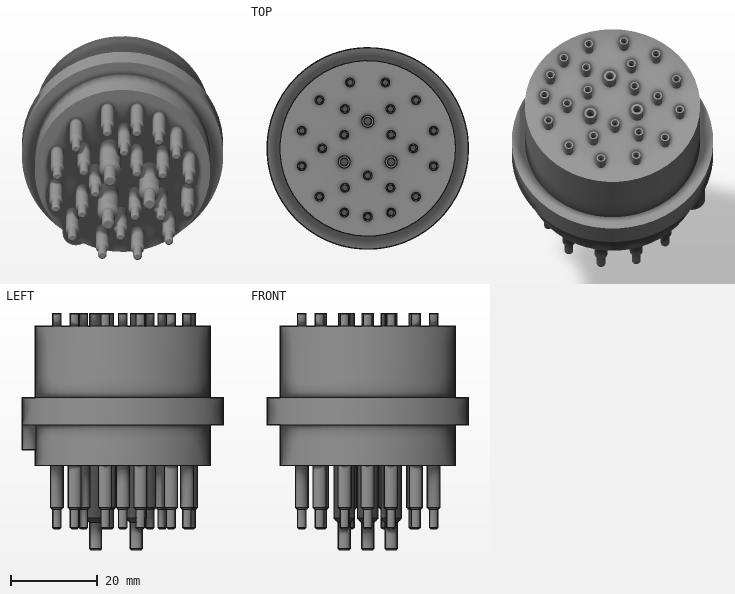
import cadquery as cq
import math

BODY_DIAMETER = 40.5
LOWER_BODY_HEIGHT = 9.4
FLANGE_DIAMETER = 46.5
FLANGE_HEIGHT = 6.3
UPPER_BODY_HEIGHT = 16.5
FLANGE_BOTTOM_Z = LOWER_BODY_HEIGHT
FLANGE_TOP_Z = FLANGE_BOTTOM_Z + FLANGE_HEIGHT
BODY_TOP_Z = FLANGE_TOP_Z + UPPER_BODY_HEIGHT

KEY_RADIUS = (FLANGE_DIAMETER - BODY_DIAMETER) / 2
KEY_CENTRE_Y = BODY_DIAMETER / 2
KEY_HEIGHT = 5.75

CUP_HEIGHT = 2.9

SMALL_PIN_DIAMETER = 2.0
SMALL_CUP_DIAMETER = SMALL_PIN_DIAMETER
SMALL_SLEEVE_DIAMETER = 3.0
SMALL_CUP_BORE = 1.4
SMALL_SLEEVE_LENGTH = 9.6
SMALL_PIN_REACH = 14.6

LARGE_PIN_DIAMETER = 2.8
LARGE_CUP_DIAMETER = 2.75
LARGE_SLEEVE_DIAMETER = 4.8
LARGE_CUP_BORE = 1.8
LARGE_SLEEVE_LENGTH = 12.1
LARGE_PIN_REACH = 19.5

TIP_CHAMFER = 0.4

OUTER_RADIUS = 15.75
OUTER_SPACING = 30
OUTER_EVEN_START = -45
OUTER_EVEN_COUNT = 10
OUTER_EVEN_ANGLES = [OUTER_EVEN_START + OUTER_SPACING * i for i in range(OUTER_EVEN_COUNT)]
OUTER_CLOSE_SPACING = 20
OUTER_CLOSE_ANGLES = [-90 + OUTER_CLOSE_SPACING * i for i in (-1, 0, 1)]
MIDDLE_RADIUS = 10.5
MIDDLE_ANGLES = range(0, 360, 60)
INNER_RADIUS = 6.25
INNER_SMALL_ANGLES = (30, 150, 270)
INNER_LARGE_ANGLES = (90, 210, 330)


def polar_points(radius, angles):
    return [
        (radius * math.cos(math.radians(angle)), radius * math.sin(math.radians(angle)))
        for angle in angles
    ]


def cylinder(diameter, bottom_z, height):
    return cq.Workplane("XY").workplane(offset=bottom_z).circle(diameter / 2).extrude(height)


def make_body():
    body = cylinder(BODY_DIAMETER, 0, BODY_TOP_Z)
    return body.union(cylinder(FLANGE_DIAMETER, FLANGE_BOTTOM_Z, FLANGE_HEIGHT))


def make_key():
    key = cylinder(2 * KEY_RADIUS, FLANGE_BOTTOM_Z - KEY_HEIGHT, KEY_HEIGHT)
    return key.translate((0, KEY_CENTRE_Y, 0))


def make_contact(pin_diameter, sleeve_diameter, cup_diameter, cup_bore, sleeve_length, reach):
    """Contact on the Z axis: cup above the body, sleeve, 45 degree shoulder and chamfered pin below."""
    pin_radius = pin_diameter / 2
    sleeve_radius = sleeve_diameter / 2
    cup_radius = cup_diameter / 2
    bore_radius = cup_bore / 2
    cup_top_z = BODY_TOP_Z + CUP_HEIGHT
    shoulder_z = -sleeve_length - (sleeve_radius - pin_radius)
    half_section = [
        (0, -reach),
        (pin_radius - TIP_CHAMFER, -reach),
        (pin_radius, -reach + TIP_CHAMFER),
        (pin_radius, shoulder_z),
        (sleeve_radius, -sleeve_length),
        (sleeve_radius, FLANGE_BOTTOM_Z),
        (cup_radius, FLANGE_BOTTOM_Z),
        (cup_radius, cup_top_z),
        (bore_radius, cup_top_z),
        (bore_radius, BODY_TOP_Z),
        (0, BODY_TOP_Z),
    ]
    return cq.Workplane("XZ").polyline(half_section).close().revolve(360, (0, 0), (0, 1))


def add_contacts(part, contact, points):
    for x, y in points:
        part = part.union(contact.translate((x, y, 0)))
    return part


small_contact = make_contact(
    SMALL_PIN_DIAMETER,
    SMALL_SLEEVE_DIAMETER,
    SMALL_CUP_DIAMETER,
    SMALL_CUP_BORE,
    SMALL_SLEEVE_LENGTH,
    SMALL_PIN_REACH,
)
large_contact = make_contact(
    LARGE_PIN_DIAMETER,
    LARGE_SLEEVE_DIAMETER,
    LARGE_CUP_DIAMETER,
    LARGE_CUP_BORE,
    LARGE_SLEEVE_LENGTH,
    LARGE_PIN_REACH,
)

small_contact_points = (
    polar_points(OUTER_RADIUS, OUTER_EVEN_ANGLES)
    + polar_points(OUTER_RADIUS, OUTER_CLOSE_ANGLES)
    + polar_points(MIDDLE_RADIUS, MIDDLE_ANGLES)
    + polar_points(INNER_RADIUS, INNER_SMALL_ANGLES)
)
large_contact_points = polar_points(INNER_RADIUS, INNER_LARGE_ANGLES)

result = make_body().union(make_key())
result = add_contacts(result, small_contact, small_contact_points)
result = add_contacts(result, large_contact, large_contact_points)